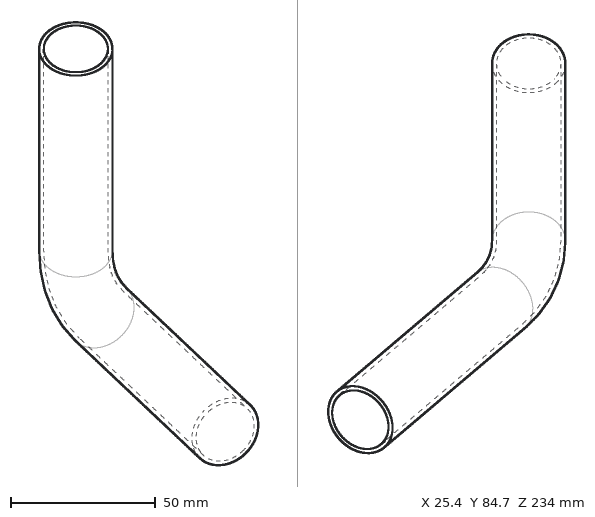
import cadquery as cq
import math

outer_diameter = 25.4
inner_diameter = 22.2
leg_length = 101.6
bend_radius = 3 * outer_diameter
bend_angle = 30.0


def bend_point(angle):
    """Centreline point (Y, Z) of the bend after turning through an angle in radians."""
    return (
        bend_radius * (1 - math.cos(angle)),
        -bend_radius * math.sin(angle),
    )


def make_centreline():
    """Path in the YZ plane: down the vertical leg, round the bend toward +Y, along the sloping leg."""
    bend_turn = math.radians(bend_angle)
    bend_middle = bend_point(bend_turn / 2)
    bend_end = bend_point(bend_turn)
    lower_end = (
        bend_end[0] + leg_length * math.sin(bend_turn),
        bend_end[1] - leg_length * math.cos(bend_turn),
    )
    return (
        cq.Workplane("YZ")
        .moveTo(0, leg_length)
        .lineTo(0, 0)
        .threePointArc(bend_middle, bend_end)
        .lineTo(*lower_end)
    )


def make_tube(centreline):
    """Sweep the ring-shaped wall section from the open top end along the centreline."""
    return (
        cq.Workplane("XY", origin=(0, 0, leg_length))
        .circle(outer_diameter / 2)
        .circle(inner_diameter / 2)
        .sweep(centreline)
    )


result = make_tube(make_centreline())